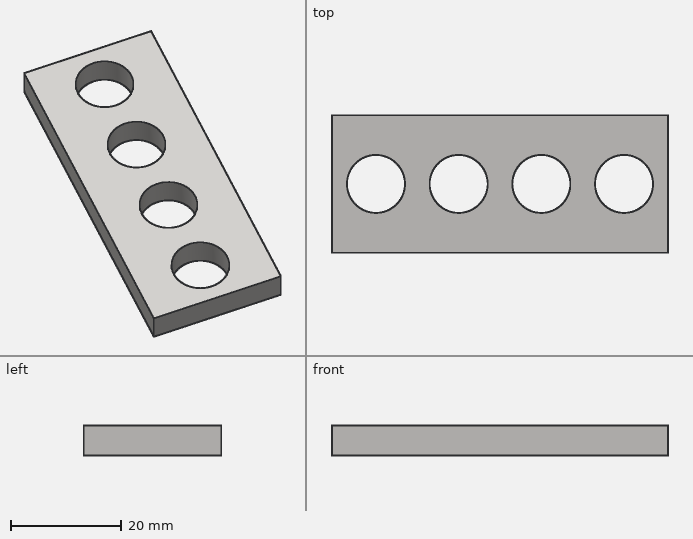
import cadquery as cq

length = 61.0
width = 25.0
thickness = 5.5

hole_count = 4
hole_diameter = 10.5
hole_pitch = 15.0

plate = cq.Workplane("XY").box(length, width, thickness)

result = (
    plate.faces(">Z")
    .workplane()
    .rarray(hole_pitch, 0.6, hole_count, 1)
    .hole(hole_diameter)
)